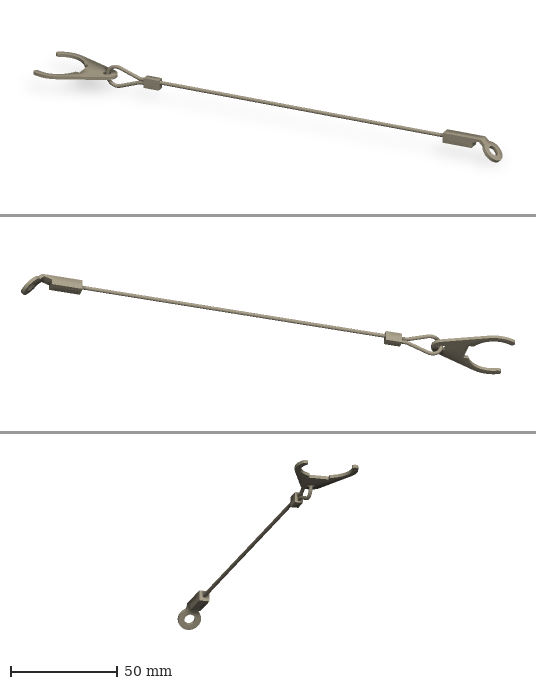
import cadquery as cq
import math

total_length = 237.5

plate_thickness = 1.5
jaw_center_x = 7.1
jaw_outer_radius = 15.0
jaw_inner_radius = 12.0
jaw_slot_half_width = 5.0
jaw_slot_end_x = 20.5
tail_center_x = 32.3
tail_radius = 5.0
tail_hole_radius = 2.0

cable_radius = 0.88
strand_offset = 0.9
loop_radius = 4.87
loop_center_x = 37.5
strand_bend_x = 49.5
strand_bend_radius = 4.8

ferrule_start_x = 52.2
ferrule_length = 7.8
ferrule_width = 3.8
ferrule_height = 5.0

block_size = 5.0
block_top_z = 3.3
block_start_x = 208.3
block_end_x = 223.2
tongue_thickness = 1.7
tongue_angle = 45.0
ring_radius = 5.5
ring_hole_radius = 2.5
lug_bottom_z = -7.1


def mirrored(point):
    """Reflect a sketch point across the sketch's X axis."""
    return (point[0], -point[1])


def make_fork():
    """Flat two-pronged jaw that tapers to a rounded tail with a hole for the loop."""
    taper = math.asin((jaw_outer_radius - tail_radius) / (tail_center_x - jaw_center_x))
    jaw_tangent = (jaw_center_x + jaw_outer_radius * math.sin(taper), jaw_outer_radius * math.cos(taper))
    tail_tangent = (tail_center_x + tail_radius * math.sin(taper), tail_radius * math.cos(taper))

    tip_radius = (jaw_outer_radius - jaw_inner_radius) / 2
    prong_radius = (jaw_outer_radius + jaw_inner_radius) / 2
    tip_angle = math.acos((tip_radius - jaw_center_x) / prong_radius)

    def on_jaw(radius, angle):
        return (jaw_center_x + radius * math.cos(angle), radius * math.sin(angle))

    tip_outer = on_jaw(jaw_outer_radius, tip_angle)
    tip_center = on_jaw(prong_radius, tip_angle)
    tip_middle = (
        tip_center[0] - tip_radius * math.sin(tip_angle),
        tip_center[1] + tip_radius * math.cos(tip_angle),
    )
    tip_inner = on_jaw(jaw_inner_radius, tip_angle)
    jaw_top = (jaw_center_x, jaw_outer_radius)
    jaw_inner_top = (jaw_center_x, jaw_inner_radius)
    slot_angle = math.asin(jaw_slot_half_width / jaw_inner_radius)
    slot_mouth = on_jaw(jaw_inner_radius, slot_angle)
    slot_corner = (jaw_slot_end_x, jaw_slot_half_width)

    outline = (
        cq.Workplane("XY", origin=(0, 0, -plate_thickness / 2))
        .moveTo(*tip_outer)
        .threePointArc(jaw_top, jaw_tangent)
        .lineTo(*tail_tangent)
        .threePointArc((tail_center_x + tail_radius, 0), mirrored(tail_tangent))
        .lineTo(*mirrored(jaw_tangent))
        .threePointArc(mirrored(jaw_top), mirrored(tip_outer))
        .threePointArc(mirrored(tip_middle), mirrored(tip_inner))
        .threePointArc(mirrored(jaw_inner_top), mirrored(slot_mouth))
        .lineTo(*mirrored(slot_corner))
        .lineTo(*slot_corner)
        .lineTo(*slot_mouth)
        .threePointArc(jaw_inner_top, tip_inner)
        .threePointArc(tip_middle, tip_outer)
        .close()
    )
    plate = outline.extrude(plate_thickness)
    tail_hole = (
        cq.Workplane("XY", origin=(tail_center_x, 0, -plate_thickness / 2))
        .circle(tail_hole_radius)
        .extrude(plate_thickness)
    )
    return plate.cut(tail_hole)


def make_cable():
    """Cable that ends in a loop, with the ferrule pressed onto both strands of the loop."""
    bend_run = strand_bend_x - loop_center_x
    bend_distance = math.hypot(bend_run, strand_offset)
    slope = math.asin(loop_radius / bend_distance) - math.atan2(strand_offset, bend_run)
    loop_end = (loop_center_x + loop_radius * math.sin(slope), loop_radius * math.cos(slope))

    ease = strand_bend_radius * math.tan(slope / 2)
    ease_start = (strand_bend_x - ease * math.cos(slope), strand_offset + ease * math.sin(slope))
    ease_end = (strand_bend_x + ease, strand_offset)
    ease_middle = (
        ease_end[0] - strand_bend_radius * math.sin(slope / 2),
        strand_offset + strand_bend_radius * (1 - math.cos(slope / 2)),
    )
    strand_end_x = ferrule_start_x + ferrule_length / 2

    path = (
        cq.Workplane("XZ")
        .moveTo(block_start_x, strand_offset)
        .lineTo(*ease_end)
        .threePointArc(ease_middle, ease_start)
        .lineTo(*loop_end)
        .threePointArc((loop_center_x - loop_radius, 0), mirrored(loop_end))
        .lineTo(*mirrored(ease_start))
        .threePointArc(mirrored(ease_middle), mirrored(ease_end))
        .lineTo(strand_end_x, -strand_offset)
    )
    wire = (
        cq.Workplane("YZ", origin=(block_start_x, 0, strand_offset))
        .circle(cable_radius)
        .sweep(path)
    )
    ferrule = cq.Workplane("XY", origin=(ferrule_start_x, 0, 0)).box(
        ferrule_length, ferrule_width, ferrule_height, centered=(False, True, True)
    )
    return wire.union(ferrule)


def make_lug():
    """Square block on the cable axis with a tongue bent down into a ring."""
    angle = math.radians(tongue_angle)
    block_bottom_z = block_top_z - block_size

    slope_end_z = lug_bottom_z + tongue_thickness * math.cos(angle)
    slope_length = (block_top_z - slope_end_z) / math.sin(angle)
    bend_x = total_length - slope_length * math.cos(angle)
    ring_distance = slope_length - ring_radius

    neck_x = bend_x - tongue_thickness * math.sin(angle)
    neck_z = block_top_z - tongue_thickness * math.cos(angle)

    block = (
        cq.Workplane("XZ")
        .moveTo(block_start_x, block_bottom_z)
        .lineTo(block_start_x, block_top_z)
        .lineTo(bend_x, block_top_z)
        .lineTo(neck_x, neck_z)
        .lineTo(block_end_x, strand_offset)
        .lineTo(block_end_x, block_bottom_z)
        .close()
        .extrude(block_size / 2, both=True)
    )
    tongue_plane = cq.Plane(
        origin=(bend_x, 0, block_top_z),
        xDir=(math.cos(angle), 0, -math.sin(angle)),
        normal=(math.sin(angle), 0, math.cos(angle)),
    )
    neck = (
        cq.Workplane(tongue_plane)
        .center(ring_distance / 2, 0)
        .rect(ring_distance, block_size)
        .extrude(-tongue_thickness)
    )
    ring = cq.Workplane(tongue_plane).center(ring_distance, 0).circle(ring_radius).extrude(-tongue_thickness)
    ring_hole = (
        cq.Workplane(tongue_plane).center(ring_distance, 0).circle(ring_hole_radius).extrude(-tongue_thickness)
    )
    return block.union(neck).union(ring).cut(ring_hole)


fork = make_fork()
cable = make_cable()
lug = make_lug()

result = cq.Compound.makeCompound([fork.solids().val(), cable.solids().val(), lug.solids().val()])